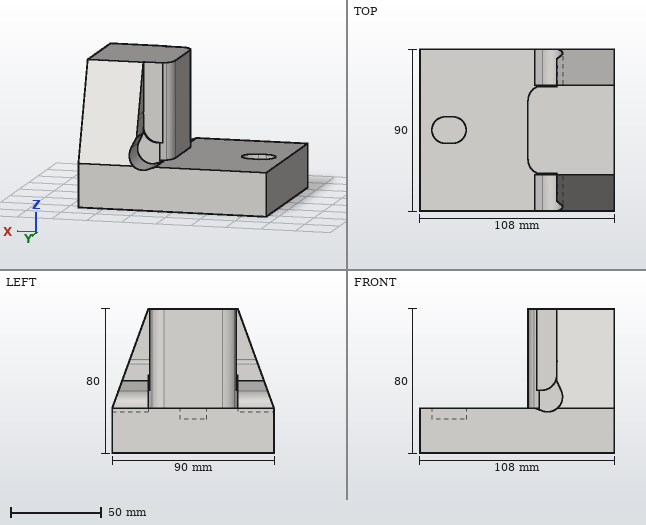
import cadquery as cq
import math

length = 108.0
width = 90.0
height = 80.0
base_height = 25.0

post_front = 60.0
post_half_width = 25.0
post_front_half_width = 16.2
corner_end = (63.4, 23.0)
corner_radius = 8.6
shoulder_end_x = 66.4

wedge_front = 76.0

recess_depth = 1.0
recess_bottom = 34.9
recess_radius = 8.4

groove_radius = 8.3
groove_x = 71.0
groove_z = 31.2
ramp_start_x = 63.9
lip_z = 40.1

band_radius = 5.4
band_height = 2.5
band_z = 51.0

slot_x = 16.2
slot_length = 19.0
slot_width = 14.7
slot_depth = 5.9


def tangent_point(point, side):
    """Point where a line from an outside point touches the groove circle."""
    dx = point[0] - groove_x
    dz = point[1] - groove_z
    direction = math.atan2(dz, dx)
    angle = direction + side * math.acos(groove_radius / math.hypot(dx, dz))
    return (
        groove_x + groove_radius * math.cos(angle),
        groove_z + groove_radius * math.sin(angle),
    )


def make_base():
    return cq.Workplane("XY").box(length, width, base_height, centered=(False, True, False))


def make_post():
    return (
        cq.Workplane("XY")
        .workplane(offset=base_height)
        .moveTo(post_front, -post_front_half_width)
        .lineTo(post_front, post_front_half_width)
        .radiusArc(corner_end, corner_radius)
        .lineTo(shoulder_end_x, post_half_width)
        .lineTo(length, post_half_width)
        .lineTo(length, -post_half_width)
        .lineTo(shoulder_end_x, -post_half_width)
        .lineTo(corner_end[0], -corner_end[1])
        .radiusArc((post_front, -post_front_half_width), corner_radius)
        .close()
        .extrude(height - base_height)
    )


def make_wedge():
    return (
        cq.Workplane("YZ")
        .workplane(offset=wedge_front)
        .polyline([
            (-width / 2, base_height),
            (width / 2, base_height),
            (post_half_width, height),
            (-post_half_width, height),
        ])
        .close()
        .extrude(length - wedge_front)
    )


def make_band_cutter():
    half_height = band_height / 2
    center_x = wedge_front - math.sqrt(band_radius**2 - half_height**2)
    return (
        cq.Workplane("XZ", origin=(center_x, recess_depth - post_half_width, band_z))
        .circle(band_radius)
        .extrude(width / 2 - post_half_width + recess_depth)
    )


def make_groove_cutter():
    """Groove profile swept from the post side outward past the base edge."""
    ramp_start = (ramp_start_x, base_height)
    lip = (wedge_front, lip_z)
    mid_angle = math.radians(-40)
    arc_middle = (
        groove_x + groove_radius * math.cos(mid_angle),
        groove_z + groove_radius * math.sin(mid_angle),
    )
    return (
        cq.Workplane("XZ", origin=(0, -post_half_width, 0))
        .moveTo(*ramp_start)
        .lineTo(*tangent_point(ramp_start, 1))
        .threePointArc(arc_middle, tangent_point(lip, -1))
        .lineTo(*lip)
        .lineTo(ramp_start_x, lip_z)
        .close()
        .extrude(width / 2 - post_half_width)
    )


def make_recess_cutter():
    """Block with one rounded lower corner, cutting the post side at -Y."""
    return (
        cq.Workplane("XZ", origin=(0, recess_depth - post_half_width, 0))
        .moveTo(post_front, height)
        .lineTo(post_front, recess_bottom)
        .lineTo(wedge_front - recess_radius, recess_bottom)
        .radiusArc((wedge_front, recess_bottom + recess_radius), -recess_radius)
        .lineTo(wedge_front, height)
        .close()
        .extrude(recess_depth)
    )


def make_slot_cutter():
    return (
        cq.Workplane("XY", origin=(slot_x, 0, base_height - slot_depth))
        .slot2D(slot_length, slot_width)
        .extrude(slot_depth)
    )


result = make_base().union(make_wedge()).union(make_post())
for cutter in (make_groove_cutter(), make_recess_cutter(), make_band_cutter()):
    result = result.cut(cutter).cut(cutter.mirror("XZ"))
result = result.cut(make_slot_cutter())